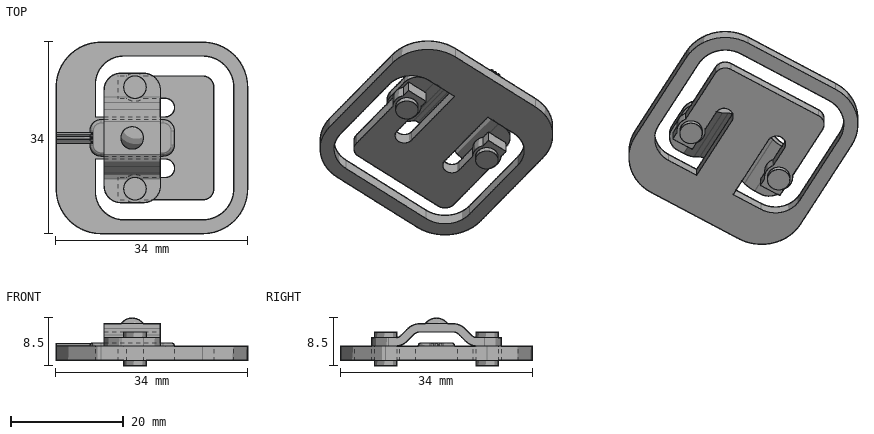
import cadquery as cq
import math

plate_size = 34.0
plate_thickness = 2.5
plate_corner_radius = 8.0
frame_width = 2.5
window_left = -10.0
window_left_corner_radius = 5.0
window_right_corner_radius = plate_corner_radius - frame_width
tongue_right = 11.0
tongue_half_width = 11.0
tongue_corner_radius = 2.0
arm_left = -6.0

neck_half_width = 3.75
arm_inner_edge = 7.0
slot_right = 4.0

head_diameter = 4.0
head_height = 1.0
rivet_x = -3.0
rivet_y = (arm_inner_edge + tongue_half_width) / 2
ear_wall = 0.5
ear_diameter = head_diameter + 2 * ear_wall

bridge_x = -3.5
bridge_length = 10.0
bridge_half_width = 11.5
bridge_corner_radius = 3.0
sheet_thickness = 1.5
bridge_rise = 2.5
bend_inner_radius = 1.5
bend_outer_radius = bend_inner_radius + sheet_thickness
bend_angle = math.radians(45)
foot_bend_start = 7.3
dome_base_radius = 2.0
dome_height = 1.0

pad_x = bridge_x
pad_length = 15.0
pad_width = 6.5
pad_height = 0.6
pad_corner_radius = 2.0
wire_diameter = 0.5
wire_pitch = 0.75
wire_count = 3
wire_embedded_length = 0.5

plate_top = plate_thickness
foot_top = plate_top + sheet_thickness
bridge_top = foot_top + bridge_rise


def block(x_min, x_max, y_min, y_max, z_min, height):
    """Box given by its limits in X and Y, its underside and its height."""
    return cq.Workplane("XY").box(
        x_max - x_min, y_max - y_min, height, centered=False
    ).translate((x_min, y_min, z_min))


def upright_cylinder(x, y, z_min, diameter, height):
    return cq.Workplane("XY", origin=(x, y, z_min)).circle(diameter / 2).extrude(height)


def make_plate():
    half = plate_size / 2
    window_edge = half - frame_width
    frame = block(-half, half, -half, half, 0, plate_thickness)
    frame = frame.edges("|Z").fillet(plate_corner_radius)
    window = block(window_left, window_edge, -window_edge, window_edge, 0, plate_thickness)
    window = window.edges("|Z and <X").fillet(window_left_corner_radius)
    window = window.edges("|Z and >X").fillet(window_right_corner_radius)

    tongue = block(arm_left, tongue_right, -tongue_half_width, tongue_half_width, 0, plate_thickness)
    tongue = tongue.edges("|Z and >X").fillet(tongue_corner_radius)
    neck = block(window_left, arm_left, -neck_half_width, neck_half_width, 0, plate_thickness)

    slot_radius = (arm_inner_edge - neck_half_width) / 2
    slot_end_x = slot_right - slot_radius
    for side in (-1, 1):
        slot_y = side * (arm_inner_edge + neck_half_width) / 2
        slot_low = slot_y - slot_radius
        slot_high = slot_y + slot_radius
        slot = block(arm_left, slot_end_x, slot_low, slot_high, 0, plate_thickness)
        slot_end = upright_cylinder(slot_end_x, slot_y, 0, 2 * slot_radius, plate_thickness)
        ear = upright_cylinder(rivet_x, side * rivet_y, 0, ear_diameter, plate_thickness)
        tongue = tongue.cut(slot).cut(slot_end).union(ear)

    return frame.cut(window).union(neck).union(tongue)


def make_rivet_head(side, underside):
    """Flat round head lying on one foot of the bridge or against the bottom of one arm."""
    return upright_cylinder(rivet_x, side * rivet_y, underside, head_diameter, head_height)


def bend_profile():
    """Closed sheet profile in the YZ plane, symmetric about Y = 0."""
    sin_bend = math.sin(bend_angle)
    cos_bend = math.cos(bend_angle)
    sin_half = math.sin(bend_angle / 2)
    cos_half = math.cos(bend_angle / 2)

    bends_rise = (bend_inner_radius + bend_outer_radius) * (1 - cos_bend)
    bends_run = (bend_inner_radius + bend_outer_radius) * sin_bend
    crown_bend_y = foot_bend_start - bends_run - (bridge_rise - bends_rise) / math.tan(bend_angle)
    foot_center_z = plate_top + bend_outer_radius
    crown_center_z = bridge_top - bend_outer_radius

    def foot_arc(radius, side):
        mid = (side * (foot_bend_start - radius * sin_half), foot_center_z - radius * cos_half)
        end = (side * (foot_bend_start - radius * sin_bend), foot_center_z - radius * cos_bend)
        return (side * foot_bend_start, foot_center_z - radius), mid, end

    def crown_arc(radius, side):
        start = (side * (crown_bend_y + radius * sin_bend), crown_center_z + radius * cos_bend)
        mid = (side * (crown_bend_y + radius * sin_half), crown_center_z + radius * cos_half)
        return start, mid, (side * crown_bend_y, crown_center_z + radius)

    def add_surface(profile, foot_radius, crown_radius, side):
        """Follow one face of the sheet across the bridge, starting at the foot on the given side."""
        foot = foot_arc(foot_radius, side)
        crown = crown_arc(crown_radius, side)
        far_crown = crown_arc(crown_radius, -side)
        far_foot = foot_arc(foot_radius, -side)
        profile = profile.lineTo(*foot[0]).threePointArc(foot[1], foot[2])
        profile = profile.lineTo(*crown[0]).threePointArc(crown[1], crown[2])
        profile = profile.lineTo(*far_crown[2]).threePointArc(far_crown[1], far_crown[0])
        return profile.lineTo(*far_foot[2]).threePointArc(far_foot[1], far_foot[0])

    profile = cq.Workplane("YZ", origin=(bridge_x, 0, 0)).moveTo(bridge_half_width, foot_top)
    profile = add_surface(profile, bend_inner_radius, bend_outer_radius, 1)
    profile = profile.lineTo(-bridge_half_width, foot_top).lineTo(-bridge_half_width, plate_top)
    profile = add_surface(profile, bend_outer_radius, bend_inner_radius, -1)
    return profile.lineTo(bridge_half_width, plate_top).close()


def make_bridge(upper_heads):
    bridge = bend_profile().extrude(bridge_length / 2, both=True)
    bridge = bridge.edges("|Z").edges("<Y or >Y").fillet(bridge_corner_radius)

    dome_radius = (dome_base_radius**2 + dome_height**2) / (2 * dome_height)
    dome = (
        cq.Workplane("XZ", origin=(bridge_x, 0, bridge_top))
        .lineTo(dome_base_radius, 0)
        .radiusArc((0, dome_height), -dome_radius)
        .close()
        .revolve(360, (0, 0), (0, 1))
    )
    bridge = bridge.union(dome)

    for head in upper_heads:
        bridge = bridge.cut(head)
    return bridge


def make_wire(index):
    wire_y = (index - (wire_count - 1) / 2) * wire_pitch
    wire_start = -plate_size / 2
    wire_end = pad_x - pad_length / 2 + wire_embedded_length
    start_plane = cq.Workplane("YZ", origin=(wire_start, wire_y, plate_top + wire_diameter / 2))
    return start_plane.circle(wire_diameter / 2).extrude(wire_end - wire_start)


def make_pad(wires):
    pad = cq.Workplane("XY", origin=(pad_x, 0, plate_top - pad_height)).rect(pad_length, pad_width)
    pad = pad.extrude(2 * pad_height).edges("|Z").fillet(pad_corner_radius)
    pad = pad.faces(">Z").edges().fillet(pad_height)
    pad = pad.faces(">Z").workplane(offset=-pad_height).split(keepTop=True)
    for wire in wires:
        pad = pad.cut(wire)
    return pad


plate = make_plate()
upper_heads = [make_rivet_head(side, foot_top) for side in (-1, 1)]
lower_heads = [make_rivet_head(side, -head_height) for side in (-1, 1)]
bridge = make_bridge(upper_heads)
wires = [make_wire(index) for index in range(wire_count)]
pad = make_pad(wires)

bodies = [plate, bridge, pad, *upper_heads, *lower_heads, *wires]
result = cq.Compound.makeCompound([body.val() for body in bodies])